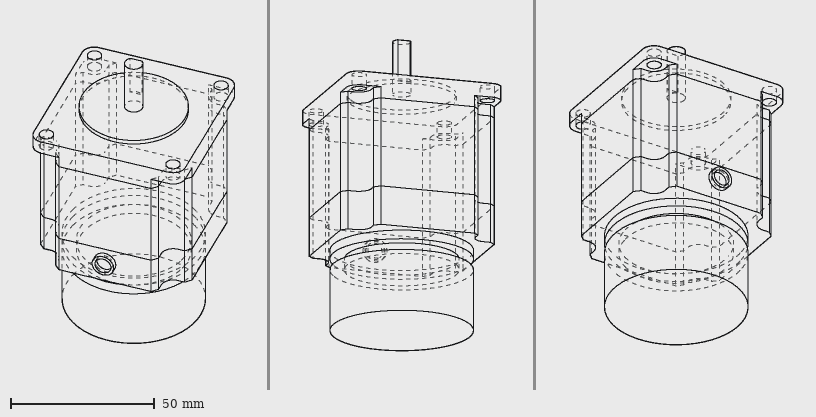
import cadquery as cq
import math

frame_side = 56.4
half_side = frame_side / 2
bolt_offset = 23.5
bolt_hole_diameter = 5.0
corner_radius = 4.5
corner_centre = half_side - corner_radius

channel_wall = 19.1
channel_radius = corner_centre - channel_wall
channel_chamfer = 2.0

drum_top = 22.1
neck_top = 25.9
cover_bottom = 29.1
stator_bottom = 43.0
stator_top = 74.9
channel_top = 79.0
flange_top = 84.0
pilot_top = 85.6
shaft_top = 104.6

pilot_diameter = 38.1
shaft_diameter = 6.4
shaft_flat_offset = 2.3
shaft_flat_length = 15.0
brake_diameter = 50.0
brake_neck_diameter = 40.0

bushing_diameter = 8.1
bushing_bore = 6.0
bushing_length = 2.0
bushing_height = 37.1


def cylinder(diameter, bottom, top):
    """Upright cylinder on the Z axis."""
    return cq.Workplane("XY").workplane(offset=bottom).circle(diameter / 2).extrude(top - bottom)


def square_block(bottom, top):
    """Square block of the motor frame."""
    return cq.Workplane("XY").workplane(offset=bottom).rect(frame_side, frame_side).extrude(top - bottom)


def corner_channels(bottom, top):
    """Cutters for the four corner channels: chamfered mouths, straight walls and a round bottom."""
    wall = channel_wall
    mouth = channel_wall - channel_chamfer
    chamfer_end = half_side - channel_chamfer
    arc_middle = corner_centre - channel_radius * math.sqrt(0.5)
    channel = (
        cq.Workplane("XY")
        .workplane(offset=bottom)
        .moveTo(half_side, half_side)
        .lineTo(mouth, half_side)
        .lineTo(wall, chamfer_end)
        .lineTo(wall, corner_centre)
        .threePointArc((arc_middle, arc_middle), (corner_centre, wall))
        .lineTo(chamfer_end, wall)
        .lineTo(half_side, mouth)
        .close()
        .extrude(top - bottom)
    )
    cutters = cq.Workplane("XY")
    for corner in range(4):
        cutters = cutters.add(channel.rotate((0, 0, 0), (0, 0, 1), 90 * corner))
    return cutters.combine()


def channelled_block(bottom, top):
    """Frame section with the corner channels along its whole height."""
    return square_block(bottom, top).cut(corner_channels(bottom, top))


def make_front_flange():
    """Mounting flange with a pilot disc, bolt holes and the upper ends of the channels."""
    flange = square_block(stator_top, flange_top).edges("|Z").fillet(corner_radius)
    flange = flange.cut(corner_channels(stator_top, channel_top))
    bolt_holes = (
        cq.Workplane("XY")
        .workplane(offset=channel_top)
        .rect(2 * bolt_offset, 2 * bolt_offset, forConstruction=True)
        .vertices()
        .circle(bolt_hole_diameter / 2)
        .extrude(flange_top - channel_top)
    )
    return flange.cut(bolt_holes).union(cylinder(pilot_diameter, flange_top, pilot_top))


def make_shaft():
    """Output shaft standing on the pilot, with a flat along its upper part."""
    shaft = cylinder(shaft_diameter, pilot_top, shaft_top)
    flat_cut = (
        cq.Workplane("XY")
        .workplane(offset=shaft_top - shaft_flat_length)
        .center(0, shaft_flat_offset + shaft_diameter / 2)
        .rect(shaft_diameter, shaft_diameter)
        .extrude(shaft_flat_length)
    )
    return shaft.cut(flat_cut)


def make_cable_bushing():
    """Round bushing on the cover's -Y face, bored through down to the cover."""
    return (
        cq.Workplane("XZ", origin=(0, -half_side, bushing_height))
        .circle(bushing_diameter / 2)
        .extrude(bushing_length)
        .faces("<Y")
        .workplane()
        .hole(bushing_bore)
    )


def make_brake():
    """Brake: mounting disc, narrower neck and drum."""
    drum = cylinder(brake_diameter, 0, drum_top)
    neck = cylinder(brake_neck_diameter, drum_top, neck_top)
    disc = cylinder(brake_diameter, neck_top, cover_bottom)
    return drum.union(neck).union(disc)


front_flange = make_front_flange()
stator = channelled_block(stator_bottom, stator_top)
rear_cover = channelled_block(cover_bottom, stator_bottom)
shaft = make_shaft()
cable_bushing = make_cable_bushing()
brake = make_brake()

result = cq.Compound.makeCompound([
    front_flange.val(),
    stator.val(),
    rear_cover.val(),
    shaft.val(),
    cable_bushing.val(),
    brake.val(),
])